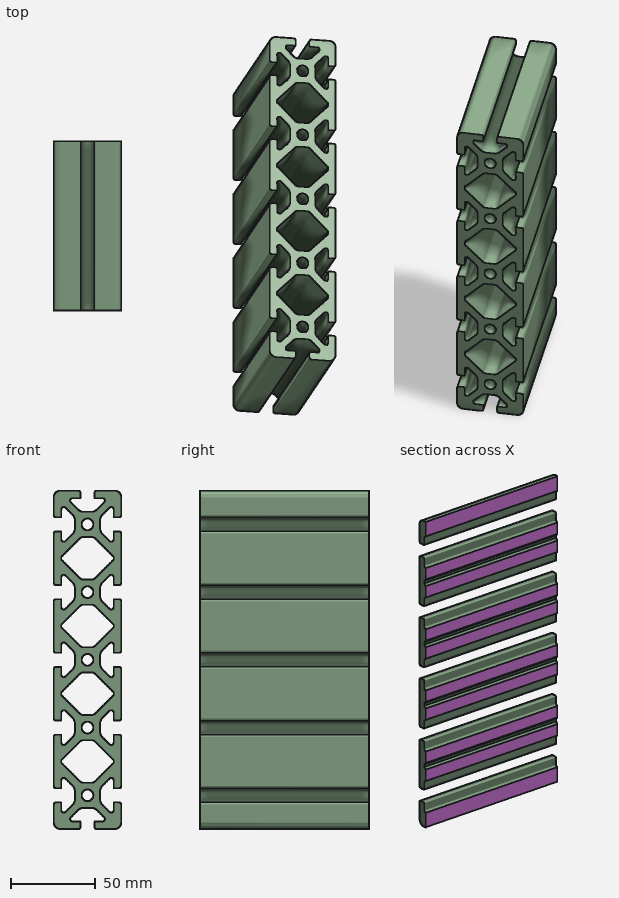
import cadquery as cq

cell_size = 40.0
cell_count = 5
length = 100.0
corner_radius = 4.0

bore_diameter = 6.8
core_width = 15.0

slot_opening = 8.2
lip_thickness = 4.5
slot_diagonal = 3.2
lip_radius = 1.5
inner_lip_radius = 0.5
undercut_radius = 1.5
floor_radius = 4.8

cavity_diagonal = 16.2
cavity_radius = 3.2

height = cell_size * cell_count
cell_half = cell_size / 2
core_half = core_width / 2
lip_inside = cell_half - lip_thickness
opening_half = slot_opening / 2
cell_centers = [(i - (cell_count - 1) / 2) * cell_size for i in range(cell_count)]
cavity_centers = [z + cell_half for z in cell_centers[:-1]]


def profile_plane():
    """XZ sketch plane on the +Y end face, extruding towards -Y."""
    return cq.Workplane("XZ", origin=(0, length / 2, 0))


def edges_at(body, points):
    """Lengthwise edges of a body nearest to the given (x, z) points."""
    lengthwise = body.edges("|Y")
    picked = body.newObject([])
    for x, z in points:
        picked = picked.add(lengthwise.edges(cq.selectors.NearestToPointSelector((x, 0, z))))
    return picked


def mirrored(x, z):
    return [(-x, z), (x, z)]


def make_slot():
    """T-slot cutter opening upwards, measured from the centre of its cell."""
    floor_half = core_half - slot_diagonal
    tip_half = lip_inside - slot_diagonal
    right_side = [
        (floor_half, core_half),
        (tip_half, lip_inside),
        (opening_half, lip_inside),
        (opening_half, cell_half),
    ]
    left_side = [(-x, z) for x, z in reversed(right_side)]
    slot = profile_plane().polyline(right_side + left_side).close().extrude(length)
    slot = edges_at(slot, mirrored(floor_half, core_half)).fillet(floor_radius)
    slot = edges_at(slot, mirrored(opening_half, lip_inside)).fillet(inner_lip_radius)
    return edges_at(slot, mirrored(tip_half, lip_inside)).fillet(undercut_radius)


def make_cavity():
    """Diamond cavity cutter between two cells, with its four points cut flat."""
    half_width = lip_inside
    half_height = cell_half - core_half
    side_flat = cavity_diagonal - half_width
    end_flat = cavity_diagonal - half_height
    outline = [
        (end_flat, half_height),
        (half_width, side_flat),
        (half_width, -side_flat),
        (end_flat, -half_height),
        (-end_flat, -half_height),
        (-half_width, -side_flat),
        (-half_width, side_flat),
        (-end_flat, half_height),
    ]
    cavity = profile_plane().polyline(outline).close().extrude(length)
    flat_ends = mirrored(end_flat, half_height) + mirrored(end_flat, -half_height)
    return edges_at(cavity, flat_ends).fillet(cavity_radius)


result = cq.Workplane("XY").box(cell_size, length, height).edges("|Y").fillet(corner_radius)

bore_points = [(0, z) for z in cell_centers]
bores = profile_plane().pushPoints(bore_points).circle(bore_diameter / 2).extrude(length)
result = result.cut(bores)

cavity = make_cavity()
for z in cavity_centers:
    result = result.cut(cavity.translate((0, 0, z)))

slot = make_slot()
slot_places = [(0, cell_centers[-1]), (180, cell_centers[0])]
slot_places += [(angle, z) for z in cell_centers for angle in (90, -90)]
for angle, z in slot_places:
    result = result.cut(slot.rotate((0, 0, 0), (0, 1, 0), angle).translate((0, 0, z)))

lip_points = []
for z in cell_centers:
    for side in (-cell_half, cell_half):
        lip_points += [(side, z - opening_half), (side, z + opening_half)]
for end in (-height / 2, height / 2):
    lip_points += mirrored(opening_half, end)
result = edges_at(result, lip_points).fillet(lip_radius)